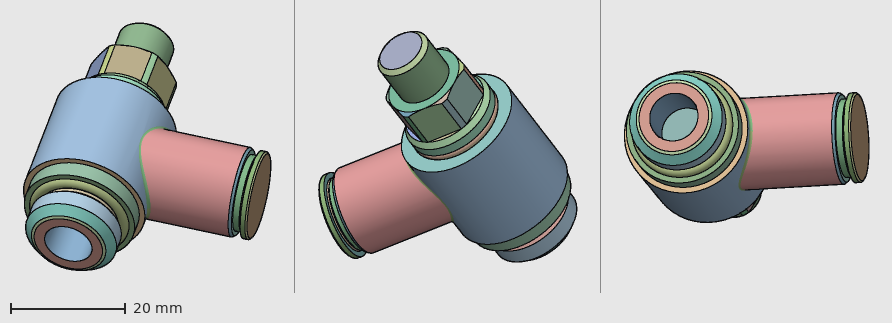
import cadquery as cq
import math


TOTAL_LENGTH = 50
FLANGE_START = 7
BODY_START = 10
BODY_END = 30
COLLAR_START = 31.35
HEX_START = 34.25
HEX_END = 41.7

BODY_R = 11
FLANGE_R = 10
THREAD_R = 8.25
COLLAR_R = 8.45
UPPER_NECK_R = 7.5
SPINDLE_R = 5

THREAD_LENGTH = 4.75
THREAD_LEAD = 1.5
THREAD_RELIEF = 1.05
END_LIP = 0.2
END_LIP_WIDTH = 0.55
BORE_R = 4.3
BORE_DEPTH = 10

LOWER_SEAL_WIRE_R = 0.95
LOWER_SEAL_OUTER_R = 9
UPPER_SEAL_WIRE_R = 0.6
UPPER_SEAL_OUTER_R = 8.5
UPPER_SEAL_Y = 30.5

COLLAR_CHAMFER_WIDTH = 0.7
COLLAR_CHAMFER_LENGTH = 1.15
HEX_ACROSS_FLATS = 14
HEX_CORNER_R = 7.75
HEX_TURN = 30
HEX_CHAMFER_ANGLE = 30
SPINDLE_CHAMFER = 0.8

BRANCH_Y = (BODY_START + BODY_END) / 2
BRANCH_R = 8
BRANCH_END = 26
BRANCH_CHAMFER_WIDTH = 0.35
BRANCH_CHAMFER_LENGTH = 0.5
JUNCTION_FILLET = 0.5
SLEEVE_R = 6.85
SLEEVE_END = 27.15
GROOVE_R = 6.6
GROOVE_WIDTH = 0.2
RELEASE_START = 27.6
RELEASE_END = 28.8
RELEASE_R = 7.85
RELEASE_CHAMFER = 0.3


def turned_about_y(points):
    """Solid of revolution about Y from (radius, y) points."""
    return cq.Workplane("XY").polyline(points).close().revolve(360, (0, 0), (0, 1))


def seal_ring(outer_r, wire_r, y):
    """Round-section ring about the Y axis."""
    wire_centre_r = outer_r - wire_r
    return (
        cq.Workplane("XY")
        .center(wire_centre_r, y)
        .circle(wire_r)
        .revolve(360, (-wire_centre_r, 0), (-wire_centre_r, 1))
    )


def body_with_branch():
    """Main cylinder and branch cylinder, blended where they meet."""
    body = cq.Workplane("XZ", origin=(0, BODY_START, 0)).circle(BODY_R).extrude(BODY_START - BODY_END)
    branch = cq.Workplane("YZ", origin=(0, BRANCH_Y, 0)).circle(BRANCH_R).extrude(BRANCH_END)
    return body.union(branch).edges("%BSPLINE").fillet(JUNCTION_FILLET)


def branch_end_chamfer():
    """Ring of material removed from the outer end of the branch."""
    start = BRANCH_END - BRANCH_CHAMFER_LENGTH
    return (
        cq.Workplane("XY", origin=(0, BRANCH_Y, 0))
        .polyline([
            (start, BRANCH_R),
            (BRANCH_END, BRANCH_R),
            (BRANCH_END, BRANCH_R - BRANCH_CHAMFER_WIDTH),
        ])
        .close()
        .revolve(360, (0, 0), (1, 0))
    )


def release_sleeve():
    """Inner sleeve and flanged release ring at the end of the branch."""
    groove_end = SLEEVE_END + GROOVE_WIDTH
    return (
        cq.Workplane("XY", origin=(0, BRANCH_Y, 0))
        .polyline([
            (BODY_R, 0),
            (BODY_R, SLEEVE_R),
            (SLEEVE_END, SLEEVE_R),
            (SLEEVE_END, GROOVE_R),
            (groove_end, GROOVE_R),
            (RELEASE_START, SLEEVE_R),
            (RELEASE_START, RELEASE_R),
            (RELEASE_END - RELEASE_CHAMFER, RELEASE_R),
            (RELEASE_END, RELEASE_R - RELEASE_CHAMFER),
            (RELEASE_END, 0),
        ])
        .close()
        .revolve(360, (0, 0), (1, 0))
    )


def threaded_end():
    """Plain thread envelope with its neck and the flange against the body."""
    neck_r = THREAD_R - THREAD_RELIEF
    lead_r = THREAD_R - THREAD_LEAD
    return turned_about_y([
        (0, 0),
        (lead_r - END_LIP_WIDTH, 0),
        (lead_r, END_LIP),
        (THREAD_R, END_LIP + THREAD_LEAD),
        (THREAD_R, THREAD_LENGTH),
        (neck_r, THREAD_LENGTH + THREAD_RELIEF),
        (neck_r, FLANGE_START),
        (FLANGE_R, FLANGE_START),
        (FLANGE_R, BODY_START),
        (0, BODY_START),
    ])


def collar_and_spindle():
    """Neck, chamfered collar and chamfered spindle beyond the body."""
    return turned_about_y([
        (0, BODY_END),
        (UPPER_NECK_R, BODY_END),
        (UPPER_NECK_R, COLLAR_START),
        (COLLAR_R, COLLAR_START),
        (COLLAR_R, HEX_START - COLLAR_CHAMFER_LENGTH),
        (COLLAR_R - COLLAR_CHAMFER_WIDTH, HEX_START),
        (SPINDLE_R, HEX_START),
        (SPINDLE_R, TOTAL_LENGTH - SPINDLE_CHAMFER),
        (SPINDLE_R - SPINDLE_CHAMFER, TOTAL_LENGTH),
        (0, TOTAL_LENGTH),
    ])


def hexagon():
    """Hexagon with flats facing up and down, rounded corners and a chamfered end."""
    flat_r = HEX_ACROSS_FLATS / 2
    corner_drop = (HEX_CORNER_R - flat_r) * math.tan(math.radians(HEX_CHAMFER_ANGLE))
    prism = (
        cq.Workplane("XZ", origin=(0, HEX_START, 0))
        .polygon(6, HEX_ACROSS_FLATS, circumscribed=True)
        .extrude(HEX_START - HEX_END)
        .rotate((0, 0, 0), (0, 1, 0), HEX_TURN)
    )
    envelope = turned_about_y([
        (0, HEX_START),
        (HEX_CORNER_R, HEX_START),
        (HEX_CORNER_R, HEX_END - corner_drop),
        (flat_r, HEX_END),
        (0, HEX_END),
    ])
    return prism.intersect(envelope)


bore = cq.Workplane("XZ").circle(BORE_R).extrude(-BORE_DEPTH)

result = (
    body_with_branch()
    .cut(branch_end_chamfer())
    .union(release_sleeve())
    .union(threaded_end())
    .union(seal_ring(LOWER_SEAL_OUTER_R, LOWER_SEAL_WIRE_R, FLANGE_START))
    .union(collar_and_spindle())
    .union(seal_ring(UPPER_SEAL_OUTER_R, UPPER_SEAL_WIRE_R, UPPER_SEAL_Y))
    .union(hexagon())
    .cut(bore)
)